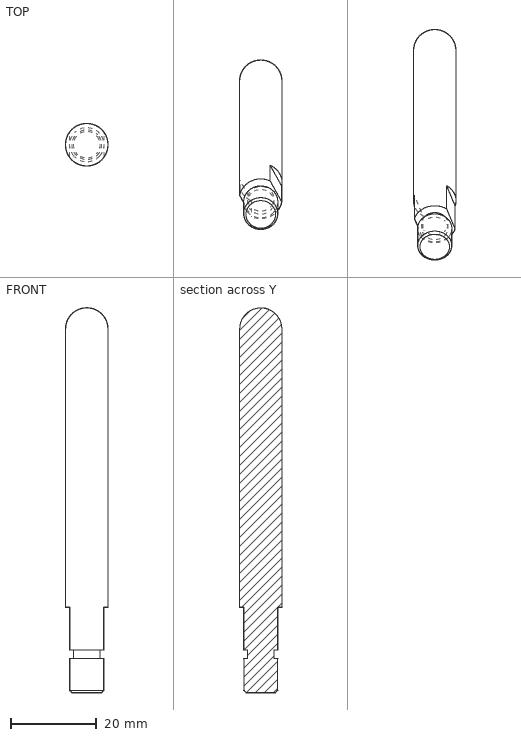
import cadquery as cq

total_length = 90.0
rod_diameter = 10.0
pin_diameter = 8.0
pin_length = 8.0
pin_chamfer = 0.5
neck_diameter = 6.2
neck_length = 2.0
flat_length = 10.0
across_flats = pin_diameter

rod_radius = rod_diameter / 2
rod_bottom = pin_length + neck_length
dome_base = total_length - rod_radius


def cylinder(diameter, bottom, top):
    """Solid cylinder on the Z axis between two heights."""
    return cq.Workplane("XY").workplane(offset=bottom).circle(diameter / 2).extrude(top - bottom)


pin = cylinder(pin_diameter, 0, pin_length).faces("<Z").chamfer(pin_chamfer)
neck = cylinder(neck_diameter, pin_length, rod_bottom)

rod = cylinder(rod_diameter, rod_bottom, dome_base)
dome = cq.Workplane("XY").sphere(rod_radius).translate((0, 0, dome_base))
rod = rod.union(dome)

flat_depth = (rod_diameter - across_flats) / 2
for side in (-1, 1):
    flat_cut = (
        cq.Workplane("XY")
        .box(flat_depth, rod_diameter, flat_length, centered=(True, True, False))
        .translate((side * (across_flats + flat_depth) / 2, 0, rod_bottom))
    )
    rod = rod.cut(flat_cut)

result = rod.union(neck).union(pin)